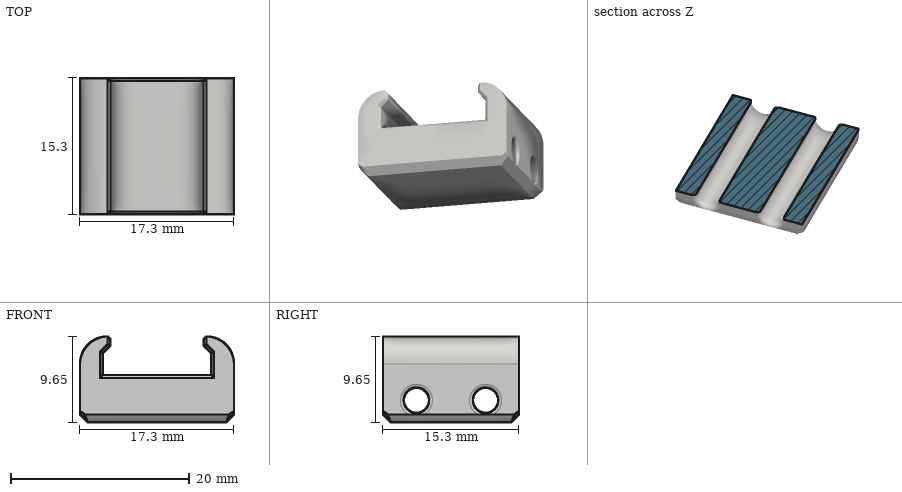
import cadquery as cq
import math

width = 17.3
length = 15.28
height = 9.65
shoulder_radius = 3.13

lip_inset = 3.43
wall_thickness = 2.58
lip_underside_height = 8.6
floor_height = 5.33
edge_chamfer = 0.33
overshoot = 0.35

base_chamfer = 0.9

hole_diameter = 2.8
hole_rounding = 0.4
hole_spacing = 7.75
hole_height = 2.47

half_width = width / 2
half_length = length / 2


def make_block():
    """Block with rounded upper shoulders and chamfered bottom edges."""
    block = cq.Workplane("XY").box(width, length, height, centered=(True, True, False))
    block = block.edges("|Y and >Z").fillet(shoulder_radius)
    return block.faces("<Z").edges().chamfer(base_chamfer)


def corner_cutter():
    """Wedge that bevels one bottom corner at 45 degrees."""
    leg = math.sqrt(2) * base_chamfer
    diagonal = cq.Plane(
        origin=(-half_width, -half_length, 0), xDir=(1, 1, 0), normal=(1, -1, 0)
    )
    outline = [(-leg, -leg), (2 * leg, -leg), (-leg, 2 * leg)]
    return cq.Workplane(diagonal).polyline(outline).close().extrude(2 * base_chamfer, both=True)


def channel_outline(y, growth):
    """Channel section at y, with every side moved outward by growth."""
    lip_x = half_width - lip_inset + growth
    wall_x = half_width - wall_thickness + growth
    rise = growth * math.tan(math.radians(22.5))
    lip_z = lip_underside_height + rise
    wall_z = lip_z - (wall_x - lip_x)
    floor_z = floor_height - growth
    top_z = height + overshoot
    right_side = [(lip_x, top_z), (lip_x, lip_z), (wall_x, wall_z), (wall_x, floor_z)]
    left_side = [(-x, z) for x, z in reversed(right_side)]
    points = [cq.Vector(x, y, z) for x, z in right_side + left_side]
    return cq.Wire.makePolygon(points, close=True)


def channel_section(start, end):
    """Straight-sided piece of channel between two (y, growth) stations."""
    return cq.Solid.makeLoft([channel_outline(*start), channel_outline(*end)], True)


def lip_top_cutter():
    """Wedge between the lips that chamfers their upper inner edges."""
    lip_x = half_width - lip_inset
    bottom_z = height - edge_chamfer
    spread = edge_chamfer + overshoot
    outline = [
        (-lip_x, bottom_z),
        (lip_x, bottom_z),
        (lip_x + spread, bottom_z + spread),
        (-lip_x - spread, bottom_z + spread),
    ]
    return cq.Workplane("XZ").polyline(outline).close().extrude(half_length, both=True)


def hole_cutter(y):
    """Cross hole along X with rounded mouths on both sides."""
    radius = hole_diameter / 2
    mouth_radius = radius + hole_rounding
    round_start = half_width - hole_rounding
    mid_x = half_width - hole_rounding * (1 - math.sqrt(0.5))
    mid_radius = mouth_radius - hole_rounding * math.sqrt(0.5)
    profile = (
        cq.Workplane("XY")
        .moveTo(-half_width, 0)
        .lineTo(-half_width, mouth_radius)
        .threePointArc((-mid_x, mid_radius), (-round_start, radius))
        .lineTo(round_start, radius)
        .threePointArc((mid_x, mid_radius), (half_width, mouth_radius))
        .lineTo(half_width, 0)
        .close()
    )
    return profile.revolve(360, (0, 0, 0), (1, 0, 0)).translate((0, y, hole_height))


result = make_block()

bevel = corner_cutter()
for corner in (bevel, bevel.mirror("YZ")):
    result = result.cut(corner).cut(corner.mirror("XZ"))

result = result.cut(cq.Workplane(channel_section((-half_length, 0), (half_length, 0))))
for end in (-1, 1):
    outer_station = (end * half_length, edge_chamfer)
    inner_station = (end * (half_length - edge_chamfer), 0)
    result = result.cut(cq.Workplane(channel_section(outer_station, inner_station)))
result = result.cut(lip_top_cutter())

for side in (-1, 1):
    result = result.cut(hole_cutter(side * hole_spacing / 2))